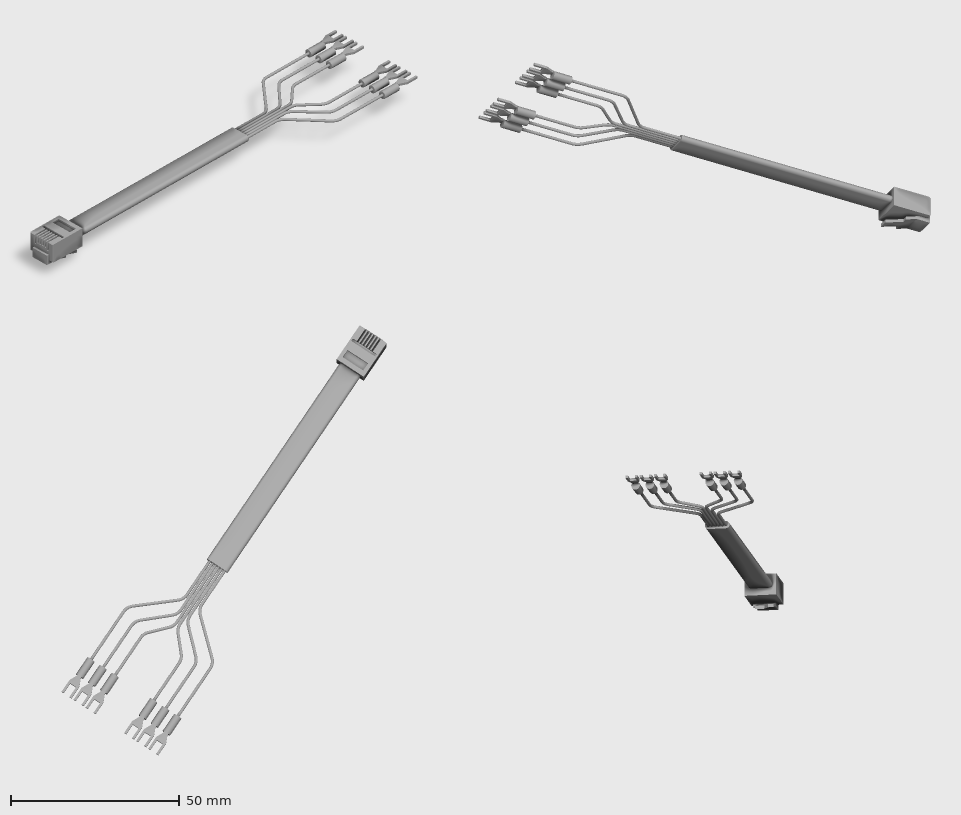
import cadquery as cq
import math


TERMINAL_TIP_Y = 128.78
OVERALL_WIDTH = 34.54
OVERALL_HEIGHT = 11.03

PLUG_WIDTH = 9.65
PLUG_LENGTH = 12.35
PLUG_HEIGHT = 6.5
PLUG_FRONT_Y = -PLUG_LENGTH
PLUG_TOP_Z = PLUG_HEIGHT / 2
PLUG_BOTTOM_Z = -PLUG_HEIGHT / 2
FRONT_CHAMFER = 0.2

POCKET_WIDTH = 7.3
POCKET_LENGTH = 2.57
POCKET_REAR_Y = -1.5
POCKET_DEPTH = 0.9

GROOVE_WIDTH = 8.5
GROOVE_LENGTH = 0.85
GROOVE_REAR_Y = -7.0
GROOVE_DEPTH = 0.9

WIRE_COUNT = 6
SLOT_PITCH = 1.02
SLOT_WIDTH = 0.6
INNER_SLOT_DEPTH = 2.5
OUTER_SLOT_DEPTH = 3.2

NOSE_PROJECTION = 0.75
NOSE_HEIGHT = 3.4
LATCH_WIDTH = 6.1
ARM_THICKNESS = 1.3
LEVER_THICKNESS = 0.95
LEVER_BEND_Y = -8.7
LEVER_STEP_Y = -5.0
LEVER_END_Y = 1.1
LEVER_END_Z = PLUG_TOP_Z - OVERALL_HEIGHT
TAIL_WIDTH = 2.8

JACKET_WIDTH = 7.4
JACKET_HEIGHT = 2.2
JACKET_EDGE_RADIUS = 1.05
JACKET_LENGTH = 71.3

WIRE_DIAMETER = 0.9
WIRE_PITCH = 1.06
BEND_RADIUS = 4.0
LOWER_CORNER_Y = (93.5, 89.9, 85.2)
UPPER_CORNER_Y = (100.5, 98.8, 96.5)

FORK_WIDTH = 3.55
FORK_THICKNESS = 0.8
FORK_SLOT_WIDTH = 2.1
FORK_SLOT_DEPTH = 3.5
FORK_STRAIGHT = 4.2
NECK_WIDTH = 1.5
NECK_START = 6.4
BARREL_START = 7.0
BARREL_LENGTH = 6.1
BARREL_DIAMETER = 2.6
BARREL_REAR_Y = TERMINAL_TIP_Y - BARREL_START - BARREL_LENGTH
TERMINAL_PITCH = 4.3
OUTER_TERMINAL_X = (OVERALL_WIDTH - FORK_WIDTH) / 2


def box(width, y_start, y_end, z_bottom, z_top, x=0):
    """Box centred on x, between two Y and two Z limits."""
    block = cq.Workplane("XY").box(width, y_end - y_start, z_top - z_bottom, centered=(True, False, False))
    return block.translate((x, y_start, z_bottom))


def latch_profile(width):
    """Flat arm under the plug and the lever that slopes down from it, extruded to a width."""
    arm_bottom_z = PLUG_BOTTOM_Z - ARM_THICKNESS
    slope = (arm_bottom_z - LEVER_END_Z) / (LEVER_END_Y - LEVER_BEND_Y)
    end_top_z = LEVER_END_Z + LEVER_THICKNESS * math.hypot(1, slope)
    lever_top_y = LEVER_END_Y - (PLUG_BOTTOM_Z - end_top_z) / slope
    return (
        cq.Workplane("YZ")
        .moveTo(PLUG_FRONT_Y, PLUG_BOTTOM_Z)
        .lineTo(PLUG_FRONT_Y, arm_bottom_z)
        .lineTo(LEVER_BEND_Y, arm_bottom_z)
        .lineTo(LEVER_END_Y, LEVER_END_Z)
        .lineTo(LEVER_END_Y, end_top_z)
        .lineTo(lever_top_y, PLUG_BOTTOM_Z)
        .close()
        .extrude(width / 2, both=True)
    )


def make_latch():
    """Nose plate with the arm behind it; the lever is wide up to a step, then narrow."""
    nose_bottom_z = PLUG_BOTTOM_Z - ARM_THICKNESS
    nose_rear_y = PLUG_FRONT_Y + FRONT_CHAMFER
    nose = box(
        LATCH_WIDTH,
        PLUG_FRONT_Y - NOSE_PROJECTION,
        nose_rear_y,
        nose_bottom_z,
        nose_bottom_z + NOSE_HEIGHT,
    )
    wide_zone = box(LATCH_WIDTH, PLUG_FRONT_Y, LEVER_STEP_Y, LEVER_END_Z, PLUG_BOTTOM_Z)
    wide_part = latch_profile(LATCH_WIDTH).intersect(wide_zone)
    return nose.union(wide_part).union(latch_profile(TAIL_WIDTH))


def make_plug():
    """Housing with its latch, top pocket, cross groove and contact slots."""
    plug = box(PLUG_WIDTH, PLUG_FRONT_Y, 0, PLUG_BOTTOM_Z, PLUG_TOP_Z)
    plug = plug.faces("<Y").edges().chamfer(FRONT_CHAMFER)
    plug = plug.union(make_latch())
    pocket_front_y = POCKET_REAR_Y - POCKET_LENGTH
    plug = plug.cut(box(POCKET_WIDTH, pocket_front_y, POCKET_REAR_Y, PLUG_TOP_Z - POCKET_DEPTH, PLUG_TOP_Z))
    groove_front_y = GROOVE_REAR_Y - GROOVE_LENGTH
    plug = plug.cut(box(GROOVE_WIDTH, groove_front_y, GROOVE_REAR_Y, PLUG_TOP_Z - GROOVE_DEPTH, PLUG_TOP_Z))
    for index in range(WIRE_COUNT):
        slot_x = (index - (WIRE_COUNT - 1) / 2) * SLOT_PITCH
        is_outer = index in (0, WIRE_COUNT - 1)
        slot_bottom_z = PLUG_TOP_Z - (OUTER_SLOT_DEPTH if is_outer else INNER_SLOT_DEPTH)
        plug = plug.cut(box(SLOT_WIDTH, PLUG_FRONT_Y, groove_front_y, slot_bottom_z, PLUG_TOP_Z, slot_x))
    return plug


def terminal_x(pair):
    """Distance of a terminal from the cable axis; pair 0 is the inner one."""
    outermost = WIRE_COUNT // 2 - 1
    return OUTER_TERMINAL_X - (outermost - pair) * TERMINAL_PITCH


def make_wire(pair, side):
    """Wire from the jacket end, over two bends, to its terminal barrel."""
    near_x = (pair + 0.5) * WIRE_PITCH
    far_x = terminal_x(pair)
    lower_y = LOWER_CORNER_Y[pair]
    upper_y = UPPER_CORNER_Y[pair]
    angle = math.atan2(far_x - near_x, upper_y - lower_y)
    tangent = BEND_RADIUS * math.tan(angle / 2)
    along_x = tangent * math.sin(angle)
    along_y = tangent * math.cos(angle)
    path = (
        cq.Workplane("XY")
        .moveTo(side * near_x, JACKET_LENGTH)
        .lineTo(side * near_x, lower_y - tangent)
        .tangentArcPoint((side * (near_x + along_x), lower_y + along_y), relative=False)
        .lineTo(side * (far_x - along_x), upper_y - along_y)
        .tangentArcPoint((side * far_x, upper_y + tangent), relative=False)
        .lineTo(side * far_x, BARREL_REAR_Y)
    )
    section = cq.Workplane("XZ", origin=(side * near_x, JACKET_LENGTH, 0)).circle(WIRE_DIAMETER / 2)
    return section.sweep(path)


def make_cable():
    """Flat jacket with rounded edges and the six wires that fan out of it."""
    cable = box(JACKET_WIDTH, 0, JACKET_LENGTH, -JACKET_HEIGHT / 2, JACKET_HEIGHT / 2)
    cable = cable.edges("|Y").fillet(JACKET_EDGE_RADIUS)
    for pair in range(WIRE_COUNT // 2):
        for side in (-1, 1):
            cable = cable.union(make_wire(pair, side))
    return cable


def make_terminal(x):
    """Fork plate lying flush with the top of its crimp barrel."""
    barrel_front_y = BARREL_REAR_Y + BARREL_LENGTH
    half_width = FORK_WIDTH / 2
    half_neck = NECK_WIDTH / 2
    taper_start_y = TERMINAL_TIP_Y - FORK_STRAIGHT
    neck_y = TERMINAL_TIP_Y - NECK_START
    plate_bottom_z = BARREL_DIAMETER / 2 - FORK_THICKNESS
    plate = (
        cq.Workplane("XY", origin=(x, 0, plate_bottom_z))
        .moveTo(-half_width, TERMINAL_TIP_Y)
        .lineTo(half_width, TERMINAL_TIP_Y)
        .lineTo(half_width, taper_start_y)
        .lineTo(half_neck, neck_y)
        .lineTo(half_neck, barrel_front_y)
        .lineTo(-half_neck, barrel_front_y)
        .lineTo(-half_neck, neck_y)
        .lineTo(-half_width, taper_start_y)
        .close()
        .extrude(FORK_THICKNESS)
    )
    slot = box(
        FORK_SLOT_WIDTH,
        TERMINAL_TIP_Y - FORK_SLOT_DEPTH,
        TERMINAL_TIP_Y,
        plate_bottom_z,
        plate_bottom_z + FORK_THICKNESS,
        x,
    )
    barrel = (
        cq.Workplane("XZ", origin=(x, barrel_front_y, 0)).circle(BARREL_DIAMETER / 2).extrude(BARREL_LENGTH)
    )
    return plate.cut(slot).union(barrel)


plug = make_plug()
cable = make_cable()
terminals = []
for pair in range(WIRE_COUNT // 2):
    for side in (-1, 1):
        terminals.append(make_terminal(side * terminal_x(pair)).val())

result = cq.Compound.makeCompound([plug.val(), cable.val(), *terminals])